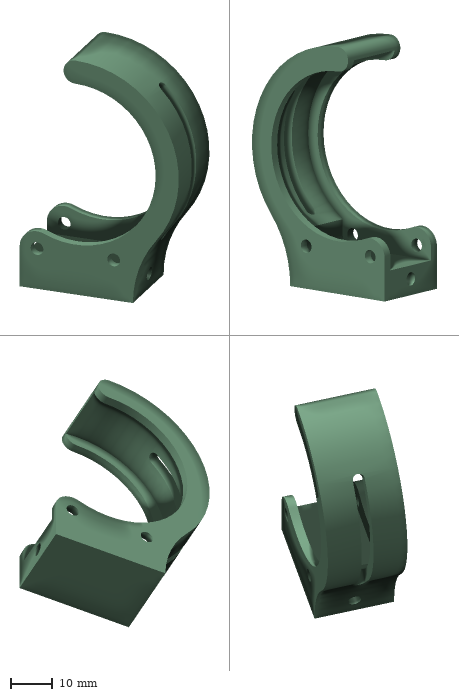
import cadquery as cq
import math

length = 41.5
width = 20.0
height = 61.0

outer_radius = 27.0
inner_radius = 21.0
ring_x = length - outer_radius
ring_z = height - outer_radius
tip_radius = (outer_radius - inner_radius) / 2

base_length = 29.5
pin_spacing = 20.0
pin_diameter = 3.3
screw_diameter = 3.3
screw_z = 4.0
nose_radius = 4.5

nose_x = nose_radius
nose_distance = inner_radius + nose_radius
nose_z = ring_z - math.sqrt(nose_distance**2 - (ring_x - nose_x) ** 2)

channel_width = 15.5
channel_radius = 24.0
channel_end_radius = 6.3 / 2
channel_end_x = nose_x + pin_spacing

slot_width = 3.0
slot_half_angle = 45.0


def side_plane(y=0.0):
    """Plane seen from -Y, with local axes along X and Z."""
    return cq.Workplane("XZ", origin=(0, y, 0))


def cylinder_along_y(x, z, radius, depth):
    return side_plane().center(x, z).circle(radius).extrude(depth / 2, both=True)


def body():
    """Base and hook outline, drawn counterclockwise from the lower front corner."""
    offset = base_length - ring_x
    back_radius = (offset**2 + ring_z**2 - outer_radius**2) / (2 * (outer_radius - offset))
    back_center_x = base_length + back_radius
    back_angle = math.atan2(ring_z, back_center_x - ring_x)
    back_end = (
        ring_x + outer_radius * math.cos(back_angle),
        ring_z - outer_radius * math.sin(back_angle),
    )
    back_middle = (
        back_center_x - back_radius * math.cos(back_angle / 2),
        back_radius * math.sin(back_angle / 2),
    )

    nose_angle = math.atan2(ring_z - nose_z, ring_x - nose_x)
    nose_end = (
        nose_x + nose_radius * math.cos(nose_angle),
        nose_z + nose_radius * math.sin(nose_angle),
    )
    nose_middle_angle = (nose_angle + math.pi) / 2
    nose_middle = (
        nose_x + nose_radius * math.cos(nose_middle_angle),
        nose_z + nose_radius * math.sin(nose_middle_angle),
    )

    return (
        side_plane()
        .moveTo(0, 0)
        .lineTo(base_length, 0)
        .threePointArc(back_middle, back_end)
        .threePointArc((ring_x + outer_radius, ring_z), (ring_x, height))
        .threePointArc(
            (ring_x - tip_radius, height - tip_radius),
            (ring_x, ring_z + inner_radius),
        )
        .threePointArc((ring_x + inner_radius, ring_z), nose_end)
        .threePointArc(nose_middle, (0, nose_z))
        .close()
        .extrude(width / 2, both=True)
    )


def channel():
    """Round recess in the ring plus the straight channel along the base."""
    recess = cylinder_along_y(ring_x, ring_z, channel_radius, channel_width)
    floor_z = nose_z - channel_end_radius
    back_x = channel_end_x + channel_end_radius
    trough = (
        cq.Workplane("XY")
        .box(back_x, channel_width, ring_z - floor_z, centered=(False, True, False))
        .translate((0, 0, floor_z))
        .edges("|Y and >X and <Z")
        .fillet(channel_end_radius)
    )
    return recess.union(trough)


def ring_slot():
    """Curved slot with round ends whose axes point at the ring center."""
    reach = 2 * outer_radius
    half_angle = math.radians(slot_half_angle)
    corner_x = ring_x + reach * math.cos(half_angle)
    corner_rise = reach * math.sin(half_angle)
    slot = (
        side_plane()
        .polyline([(ring_x, ring_z), (corner_x, ring_z - corner_rise), (corner_x, ring_z + corner_rise)])
        .close()
        .extrude(slot_width / 2, both=True)
    )
    center = cq.Vector(ring_x, 0, ring_z)
    for angle in (-half_angle, half_angle):
        direction = cq.Vector(math.cos(angle), 0, math.sin(angle))
        slot = slot.union(
            cq.Workplane(cq.Solid.makeCylinder(slot_width / 2, reach, center, direction))
        )
    return slot


def screw_hole():
    """Lengthwise hole through the base."""
    return cq.Workplane("YZ").center(0, screw_z).circle(screw_diameter / 2).extrude(length)


result = body().cut(channel()).cut(ring_slot()).cut(screw_hole())
for pin_x in (nose_x, nose_x + pin_spacing):
    result = result.cut(cylinder_along_y(pin_x, nose_z, pin_diameter / 2, width))